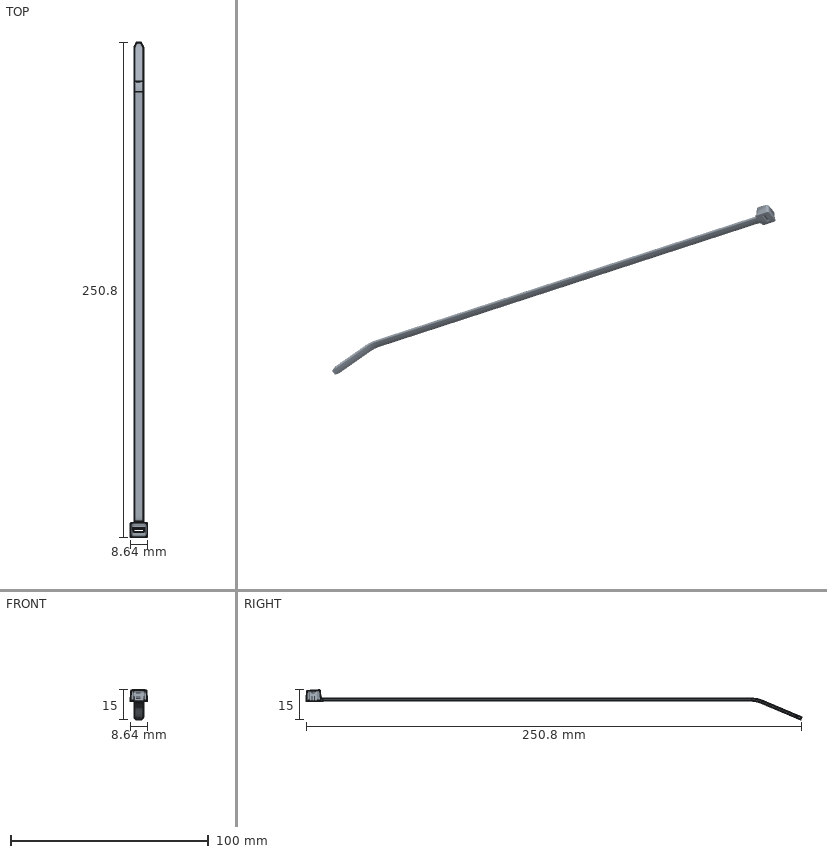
import cadquery as cq
import math


overall_length = 250.75
overall_height = 14.97

strap_width = 4.83
strap_thickness = 1.27
strap_edge_radius = 0.55
strap_lift = 0.25

bend_start = 225.5
bend_radius = 12.5
bend_angle = 23.0
tip_width = 2.0
tip_taper_length = 2.8

head_width = 8.64
head_length = 7.5
head_rim_height = 0.6
head_rim_corner_radius = 0.9
head_draft = 4.7
head_corner_radius = 1.6
head_top_radius = 0.6
head_top_slope = 3.6
neck_radius = 0.8

slot_width = 5.0
slot_thickness = 1.4
slot_front = 2.8
lead_in_depth = 1.5
lead_in_side = 0.5
lead_in_back = 0.7

bend_sine = math.sin(math.radians(bend_angle))
bend_cosine = math.cos(math.radians(bend_angle))
tail_start_y = bend_start + bend_radius * bend_sine
tail_start_z = strap_lift - bend_radius * (1 - bend_cosine)
tail_length = (overall_length - tail_start_y - strap_thickness * bend_sine) / bend_cosine
head_height = overall_height + tail_start_z - tail_length * bend_sine
strap_start = head_length + neck_radius
strap_top = strap_lift + strap_thickness

top_slope = math.tan(math.radians(head_top_slope))
edge_centre_z = head_height - head_top_radius
edge_centre_inset = (
    (edge_centre_z - head_rim_height) * math.tan(math.radians(head_draft))
    + head_top_radius / math.cos(math.radians(head_draft))
)
head_back_height = (
    edge_centre_z
    + head_top_radius / math.cos(math.radians(head_top_slope))
    + edge_centre_inset * top_slope
)


def strap_section(origin, angle):
    """Rounded strap outline facing along the strap, its underside's middle at the given origin.

    Local X runs across the strap and local Y up through its thickness.
    """
    slope = math.radians(angle)
    plane = cq.Plane(origin=origin, xDir=(-1, 0, 0), normal=(0, math.cos(slope), -math.sin(slope)))
    outline = cq.Sketch().rect(strap_width, strap_thickness).vertices().fillet(strap_edge_radius)
    centre = cq.Location(cq.Vector(0, strap_thickness / 2, 0))
    return cq.Workplane(plane).placeSketch(outline.moved(centre))


def make_head_block():
    """Head without its slot: an upright rim, drafted sides and a sloping top with a rounded edge."""
    footprint = cq.Sketch().rect(head_width, head_length)
    base = cq.Workplane("XY", origin=(0, head_length / 2, 0))
    rim_outline = footprint.copy().vertices().fillet(head_rim_corner_radius)
    rim = base.placeSketch(rim_outline).extrude(head_rim_height)
    drafted_outline = footprint.copy().vertices().fillet(head_corner_radius)
    drafted = (
        base.workplane(offset=head_rim_height)
        .placeSketch(drafted_outline)
        .extrude(head_height, taper=head_draft)
    )
    front_height = head_back_height - head_length * top_slope
    above_top = head_height + head_rim_height
    top_waste = (
        cq.Workplane("YZ")
        .moveTo(0, front_height)
        .lineTo(head_length, head_back_height)
        .lineTo(head_length, above_top)
        .lineTo(0, above_top)
        .close()
        .extrude(head_width, both=True)
    )
    crown = drafted.cut(top_waste).faces(">Z").edges().fillet(head_top_radius)
    return rim.union(crown)


def make_neck():
    """Stub that carries the strap, with a hollow fillet up to the head's back."""
    neck_top = strap_top + neck_radius
    return (
        cq.Workplane("YZ")
        .moveTo(head_length - head_corner_radius, 0)
        .lineTo(strap_start, 0)
        .lineTo(strap_start, strap_top)
        .radiusArc((head_length, neck_top), neck_radius)
        .lineTo(head_length - head_corner_radius, neck_top)
        .close()
        .extrude(strap_width / 2, both=True)
    )


def make_slot():
    """Cutter for the strap passage, whose ends and back flare out at the top."""
    slot_middle = slot_front + slot_thickness / 2
    passage = (
        cq.Workplane("XY", origin=(0, slot_middle, 0))
        .rect(slot_width, slot_thickness)
        .extrude(head_height)
    )
    lead_in = (
        cq.Workplane("XY", origin=(0, slot_middle, head_height - lead_in_depth))
        .rect(slot_width, slot_thickness)
        .workplane(offset=lead_in_depth)
        .center(0, lead_in_back / 2)
        .rect(slot_width + 2 * lead_in_side, slot_thickness + lead_in_back)
        .loft()
    )
    return passage.union(lead_in)


def make_head():
    return make_head_block().union(make_neck()).cut(make_slot())


def make_strap():
    return strap_section((0, strap_start, strap_lift), 0).extrude(bend_start - strap_start)


def make_bend():
    section = strap_section((0, bend_start, strap_lift), 0)
    return section.revolve(bend_angle, (0, -bend_radius), (1, -bend_radius))


def make_tail():
    """Flat grip at the end of the strap, narrowed to a blunt tip."""
    tail_start = (0, tail_start_y, tail_start_z)
    grip = strap_section(tail_start, bend_angle).extrude(tail_length)
    shoulder_y = overall_length - tip_taper_length
    tip_outline = (
        cq.Workplane("XY", origin=(0, 0, -overall_height))
        .moveTo(-strap_width / 2, bend_start)
        .lineTo(-strap_width / 2, shoulder_y)
        .lineTo(-tip_width / 2, overall_length)
        .lineTo(tip_width / 2, overall_length)
        .lineTo(strap_width / 2, shoulder_y)
        .lineTo(strap_width / 2, bend_start)
        .close()
        .extrude(2 * overall_height)
    )
    return grip.intersect(tip_outline)


head = make_head()
strap = make_strap()
bend = make_bend()
tail = make_tail()

result = cq.Compound.makeCompound([head.val(), strap.val(), bend.val(), tail.val()])